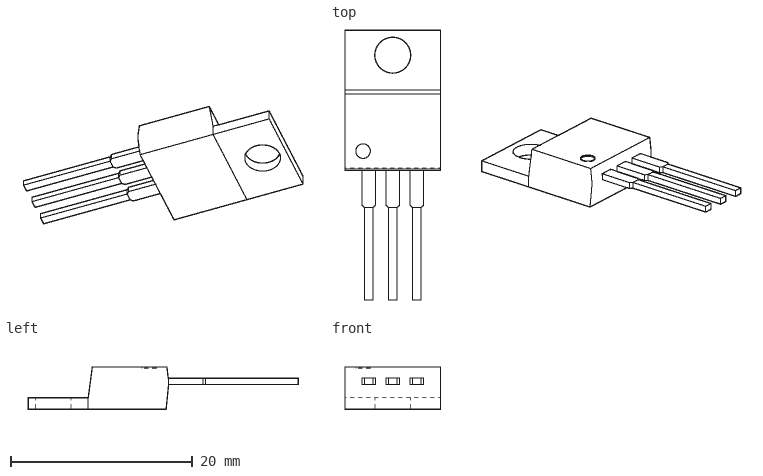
import cadquery as cq

TOTAL_LENGTH = 29.75
WIDTH = 10.54
HEIGHT = 4.7

TAB_LENGTH = 6.6
TAB_THICKNESS = 1.3
TAB_HOLE_DIAMETER = 3.93
TAB_HOLE_FROM_END = 2.77

HOUSING_LENGTH = 8.87
REAR_DRAFT = 0.45
FRONT_TOP_DRAFT = 0.18
FRONT_BOTTOM_DRAFT = 0.27
BAND_BOTTOM = 2.65
BAND_TOP = 3.18

MARK_DIAMETER = 1.6
MARK_OFFSET_X = -3.27
MARK_FROM_FRONT = 2.15
MARK_RECESS_DEPTH = 0.18
MARK_THICKNESS = 0.1

LEAD_COUNT = 3
LEAD_PITCH = 2.65
LEAD_BOTTOM = 2.75
LEAD_THICKNESS = 0.7
SHOULDER_WIDTH = 1.52
SHOULDER_LENGTH = 4.08
SHOULDER_TAPER_LENGTH = 0.27
PIN_WIDTH = 0.95

tab_front = TOTAL_LENGTH - TAB_LENGTH
housing_front = tab_front - HOUSING_LENGTH
shoulder_front = housing_front - SHOULDER_LENGTH
mark_y = housing_front + MARK_FROM_FRONT
lead_positions = [(i - (LEAD_COUNT - 1) / 2) * LEAD_PITCH for i in range(LEAD_COUNT)]


def make_tab():
    """Flat plate with a through mounting hole."""
    plate = cq.Workplane("XY").box(WIDTH, TAB_LENGTH, TAB_THICKNESS, centered=(True, False, False))
    hole = (
        cq.Workplane("XY")
        .center(0, TAB_LENGTH - TAB_HOLE_FROM_END)
        .circle(TAB_HOLE_DIAMETER / 2)
        .extrude(TAB_THICKNESS)
    )
    return plate.cut(hole).translate((0, tab_front, 0))


def mark_cylinder(bottom, height):
    """Cylinder on the marker axis, shared by the recess and the disc."""
    return (
        cq.Workplane("XY", origin=(MARK_OFFSET_X, mark_y, bottom))
        .circle(MARK_DIAMETER / 2)
        .extrude(height)
    )


def make_housing():
    """Side profile extruded across the width, with the marker recess in its top."""
    profile = [
        (tab_front, 0),
        (tab_front, TAB_THICKNESS),
        (tab_front - REAR_DRAFT, HEIGHT),
        (housing_front + FRONT_TOP_DRAFT, HEIGHT),
        (housing_front, BAND_TOP),
        (housing_front, BAND_BOTTOM),
        (housing_front + FRONT_BOTTOM_DRAFT, 0),
    ]
    block = cq.Workplane("YZ").polyline(profile).close().extrude(WIDTH / 2, both=True)
    return block.cut(mark_cylinder(HEIGHT - MARK_RECESS_DEPTH, MARK_RECESS_DEPTH))


def make_mark():
    """Marker disc resting on the recess floor."""
    return mark_cylinder(HEIGHT - MARK_RECESS_DEPTH, MARK_THICKNESS)


def make_shoulder(x, housing):
    """Wide lead section, tapered to the pin in front and trimmed to the housing face behind."""
    rear = housing_front + FRONT_TOP_DRAFT
    half_width = SHOULDER_WIDTH / 2
    half_pin = PIN_WIDTH / 2
    taper_start = shoulder_front + SHOULDER_TAPER_LENGTH
    outline = [
        (-half_width, rear),
        (-half_width, taper_start),
        (-half_pin, shoulder_front),
        (half_pin, shoulder_front),
        (half_width, taper_start),
        (half_width, rear),
    ]
    return (
        cq.Workplane("XY", origin=(x, 0, LEAD_BOTTOM))
        .polyline(outline)
        .close()
        .extrude(LEAD_THICKNESS)
        .cut(housing)
    )


def make_pin(x):
    """Narrow straight lead section from the shoulder to the tip."""
    return cq.Workplane("XY", origin=(x, 0, LEAD_BOTTOM)).box(
        PIN_WIDTH, shoulder_front, LEAD_THICKNESS, centered=(True, False, False)
    )


tab = make_tab()
housing = make_housing()
mark = make_mark()
shoulders = [make_shoulder(x, housing).val() for x in lead_positions]
pins = [make_pin(x).val() for x in lead_positions]

result = cq.Compound.makeCompound([tab.val(), housing.val(), mark.val(), *shoulders, *pins])